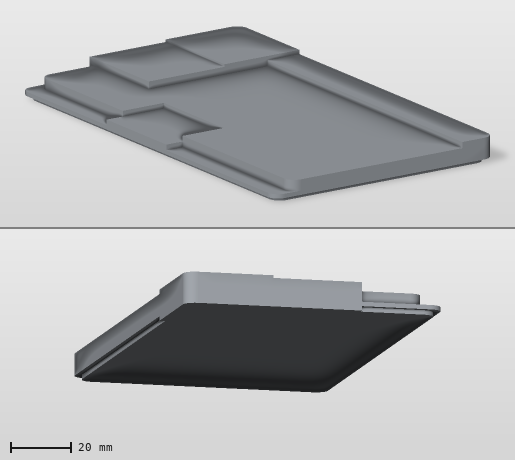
import cadquery as cq

length = 150.0
width = 88.0
corner_radius = 4.0

base_top = 1.5
plate_top = 3.0
pad_top = 5.0
slab_top = 6.9
rail_top = 9.0
low_block_top = 9.6
high_block_top = 10.5

side_inset = 2.0
slab_front_inset = 6.5

rail_width = 12.9
block_length = 35.0
block_width = 60.3
high_block_width = 30.0
pad_offset = 50.8
pad_length = 35.2
pad_width = 23.0

left = -length / 2
right = length / 2
front = -width / 2
back = width / 2


def box(x_min, x_max, y_min, y_max, z_min, z_max):
    """Box between the given limits."""
    return cq.Workplane("XY").box(
        x_max - x_min, y_max - y_min, z_max - z_min, centered=False
    ).translate((x_min, y_min, z_min))


def rounded_layer(x_min, x_max, y_min, y_max, z_min, z_max, corners="|Z"):
    """Flat layer with the selected upright corners rounded."""
    return box(x_min, x_max, y_min, y_max, z_min, z_max).edges(corners).fillet(corner_radius)


base = rounded_layer(left + side_inset, right - side_inset, front + side_inset, back - side_inset, 0, base_top)
plate = rounded_layer(left, right, front, back, base_top, plate_top)

slab = rounded_layer(left + side_inset, right, front + slab_front_inset, back, plate_top, slab_top)

pad_left = left + pad_offset
pad_right = pad_left + pad_length
pad_back = front + pad_width
recess = box(pad_left, pad_right, front, pad_back, plate_top, slab_top)
pad = box(pad_left, pad_right, front, pad_back, plate_top, pad_top)

block_right = left + block_length
rail = rounded_layer(block_right, right, back - rail_width, back, slab_top, rail_top, "|Z and (>X and >Y)")

block = rounded_layer(left, block_right, back - block_width, back, 0, high_block_top, "|Z and <X and >Y")
step = box(left, block_right, back - block_width, back - high_block_width, low_block_top, high_block_top)
block = block.cut(step)

result = base.union(plate).union(slab).cut(recess).union(pad).union(rail).union(block)